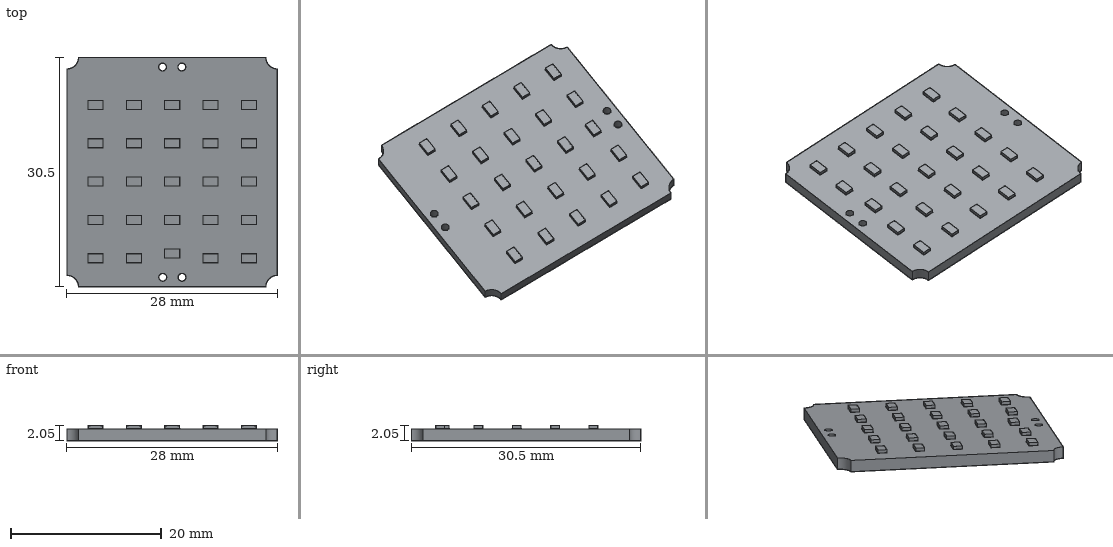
import cadquery as cq

BOARD_X = 27.95
BOARD_Y = 30.48
TOTAL_Z = 2.05
BOARD_Z = 1.6
CORNER_RADIUS = 1.52

HOLE_DIAMETER = 1.0
HOLE_PITCH = 2.55
HOLE_EDGE_DISTANCE = 1.28
LOWER_PAIR_SHIFT_X = 0.03

CHIP_COUNT = 5
CHIP_PITCH = 5.1
CHIP_GRID_CENTER_Y = -1.25
CHIP_Z = TOTAL_Z - BOARD_Z
SHIFTED_CHIP_OFFSET_Y = 0.6

PAD_X = 2.0
PAD_Y = 1.22
PAD_Z = 0.03
PAD_MARGIN = 0.015
LENS_LENGTH = 1.52
LENS_Z = 0.015
LENS_TAPER = 0.05


def block(x_size, y_size, z_size):
    """A block centred in X and Y that stands on Z = 0."""
    return cq.Workplane("XY").box(x_size, y_size, z_size, centered=(True, True, False))


def make_board():
    """The board with a concave quarter-round at each corner and two pairs of through holes."""
    corner_cutters = (
        cq.Workplane("XY")
        .rect(BOARD_X, BOARD_Y, forConstruction=True)
        .vertices()
        .circle(CORNER_RADIUS)
        .extrude(BOARD_Z)
    )
    hole_row_y = BOARD_Y / 2 - HOLE_EDGE_DISTANCE
    hole_points = []
    for side in (-1, 1):
        hole_points.append((side * HOLE_PITCH / 2, hole_row_y))
        hole_points.append((side * HOLE_PITCH / 2 + LOWER_PAIR_SHIFT_X, -hole_row_y))
    hole_cutters = cq.Workplane("XY").pushPoints(hole_points).circle(HOLE_DIAMETER / 2).extrude(BOARD_Z)
    return block(BOARD_X, BOARD_Y, BOARD_Z).cut(corner_cutters).cut(hole_cutters)


def make_chip():
    """One chip on the middle of the board's top face; the lens runs across its full Y width."""
    body_x = PAD_X - 2 * PAD_MARGIN
    body_y = PAD_Y - 2 * PAD_MARGIN
    body_top = CHIP_Z - LENS_Z
    lens_bottom_half = LENS_LENGTH / 2
    lens_top_half = lens_bottom_half - LENS_TAPER
    lens = (
        cq.Workplane("XZ")
        .moveTo(-lens_bottom_half, body_top)
        .lineTo(lens_bottom_half, body_top)
        .lineTo(lens_top_half, CHIP_Z)
        .lineTo(-lens_top_half, CHIP_Z)
        .close()
        .extrude(body_y / 2, both=True)
    )
    chip = block(PAD_X, PAD_Y, PAD_Z).union(block(body_x, body_y, body_top)).union(lens)
    return chip.translate((0, 0, BOARD_Z))


def chip_positions():
    """Grid places of the chips, with the middle chip of the lowest row moved up."""
    middle = CHIP_COUNT // 2
    positions = []
    for column in range(CHIP_COUNT):
        for row in range(CHIP_COUNT):
            x = (column - middle) * CHIP_PITCH
            y = CHIP_GRID_CENTER_Y + (row - middle) * CHIP_PITCH
            if row == 0 and column == middle:
                y += SHIFTED_CHIP_OFFSET_Y
            positions.append((x, y, 0))
    return positions


result = make_board()
chip = make_chip()
for position in chip_positions():
    result = result.union(chip.translate(position))